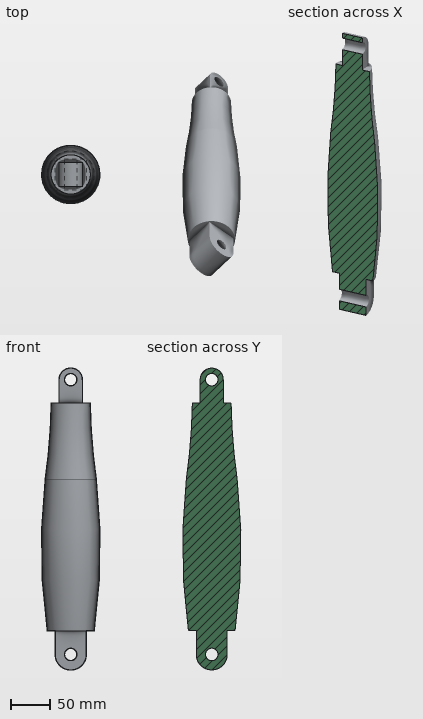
import cadquery as cq

total_height = 385.0
body_bottom = 50.0
shoulder_height = 243.0
body_top = 340.5

bottom_radius = 30.0
shoulder_radius = 32.7
top_radius = 25.0
belly_bulge = 6.0
neck_hollow = 1.5

lower_lug_width = 40.0
upper_lug_width = 30.0
pin_diameter = 15.5


def make_body():
    """Revolve a bulging belly and a slightly hollow neck about Z."""
    belly_middle = (
        (bottom_radius + shoulder_radius) / 2 + belly_bulge,
        (body_bottom + shoulder_height) / 2,
    )
    neck_middle = (
        (shoulder_radius + top_radius) / 2 - neck_hollow,
        (shoulder_height + body_top) / 2,
    )
    return (
        cq.Workplane("XZ")
        .moveTo(0, body_bottom)
        .lineTo(bottom_radius, body_bottom)
        .threePointArc(belly_middle, (shoulder_radius, shoulder_height))
        .threePointArc(neck_middle, (top_radius, body_top))
        .lineTo(0, body_top)
        .close()
        .revolve(360, (0, 0), (0, 1))
    )


def make_lug(width, base_height, tip_height):
    """Make a lug as deep as it is wide, rounded about its Y-direction pin hole."""
    radius = width / 2
    outward = 1 if tip_height > base_height else -1
    pin_height = tip_height - outward * radius
    return (
        cq.Workplane("XZ")
        .moveTo(-radius, base_height)
        .lineTo(-radius, pin_height)
        .threePointArc((0, tip_height), (radius, pin_height))
        .lineTo(radius, base_height)
        .close()
        .moveTo(0, pin_height)
        .circle(pin_diameter / 2)
        .extrude(radius, both=True)
    )


lower_lug = make_lug(lower_lug_width, body_bottom, 0)
upper_lug = make_lug(upper_lug_width, body_top, total_height)
result = make_body().union(lower_lug).union(upper_lug)